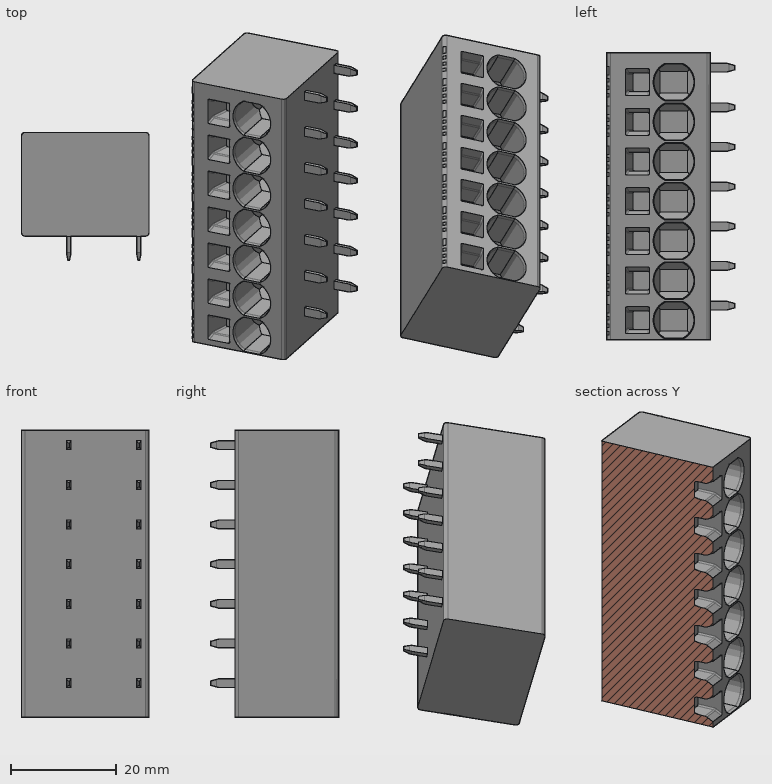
import cadquery as cq
import math

body_x = 24.15
body_y = 19.65
body_z = 54.3
edge_radius = 0.7

pole_count = 7
pole_pitch = 7.5
first_hole_z = 3.73
pin_above_hole = 2.75
pole_heights = [first_hole_z + pole * pole_pitch for pole in range(pole_count)]

hole_y = 6.95
hole_diameter = 7.55
hole_height = 6.8
hole_rim_inset = 0.15
hole_rim_depth = 0.6
hole_depth = 8.0
funnel_depth = 2.2
funnel_end_y = 5.2
funnel_end_z = 4.1

pocket_y = 13.85
pocket_width = 4.55
pocket_height = 5.1
pocket_corner_radius = 0.3
pocket_depth = 5.2
pocket_floor_inset_y = 1.4
wide_bevel_depth = 1.3
wide_bevel_inset_z = 0.7
narrow_bevel_depth = 0.4
narrow_bevel_inset_z = 0.1

pin_x_positions = (8.95, 22.2)
pin_thickness = 0.8
pin_height = 1.7
pin_length = 4.55
pin_root = 1.0
tip_z_length = 1.5
tip_z_height = 0.85
tip_x_length = 1.1
tip_x_thickness = 0.35

notch_depth = 0.07
wide_notch = 1.6
narrow_notch = 0.7
wide_notch_above_hole = 2.15
first_narrow_above_hole = 0.38
narrow_notch_pitch = 1.42
narrow_notch_count = 3


def make_housing():
    block = cq.Workplane("XY").box(body_x, body_y, body_z, centered=False)
    return block.edges("|Z").fillet(edge_radius)


def face_plane(depth):
    """Plane parallel to the -X face at the given depth; local axes are Y and Z."""
    return cq.Workplane("YZ", origin=(depth, 0, 0))


def flattened_cone(z, start_depth, start_size, end_depth, end_size):
    """Round frustum with a flat top and bottom; each size is (diameter, height)."""
    length = end_depth - start_depth
    start_diameter = start_size[0]
    end_diameter = end_size[0]
    base = face_plane(start_depth).center(hole_y, z)
    cone = (
        base.circle(start_diameter / 2)
        .workplane(offset=length).circle(end_diameter / 2)
        .loft(ruled=True)
    )
    return cone.intersect(wedge(z, start_depth, start_size, end_depth, end_size))


def wedge(z, start_depth, start_size, end_depth, end_size):
    """Rectangular frustum on the hole axis."""
    return (
        face_plane(start_depth).center(hole_y, z).rect(*start_size)
        .workplane(offset=end_depth - start_depth).rect(*end_size)
        .loft(ruled=True)
    )


def make_wire_hole(z):
    bore_size = (hole_diameter, hole_height)
    rim_size = (hole_diameter + 2 * hole_rim_inset, hole_height + 2 * hole_rim_inset)
    funnel_end = hole_depth + funnel_depth
    rim = flattened_cone(z, 0, rim_size, hole_rim_depth, bore_size)
    bore = flattened_cone(z, 0, bore_size, hole_depth, bore_size)
    bore_extension = flattened_cone(z, hole_depth, bore_size, funnel_end, bore_size)
    funnel = wedge(z, hole_depth, bore_size, funnel_end, (funnel_end_y, funnel_end_z))
    return bore.union(rim).union(funnel.intersect(bore_extension))


def pocket_section(depth, inset_z):
    """Rounded rectangle of the pocket at a depth; its -Y side is the same at every depth."""
    inset_y = pocket_floor_inset_y * depth / pocket_depth
    return (
        cq.Sketch()
        .push([(-inset_y / 2, 0)])
        .rect(pocket_width - inset_y, pocket_height - 2 * inset_z)
        .reset()
        .vertices()
        .fillet(pocket_corner_radius)
    )


def pocket_stage(z, start_depth, start_inset_z, end_depth, end_inset_z):
    start_section = pocket_section(start_depth, start_inset_z)
    end_section = pocket_section(end_depth, end_inset_z)
    advance = cq.Location(cq.Vector(0, 0, end_depth - start_depth))
    return (
        face_plane(start_depth).center(pocket_y, z)
        .placeSketch(start_section, end_section.moved(advance))
        .loft(ruled=True)
    )


def make_release_pocket(z):
    shaft_start = wide_bevel_depth + narrow_bevel_depth
    shaft_inset_z = wide_bevel_inset_z + narrow_bevel_inset_z
    wide_bevel = pocket_stage(z, 0, 0, wide_bevel_depth, wide_bevel_inset_z)
    narrow_bevel = pocket_stage(
        z, wide_bevel_depth, wide_bevel_inset_z, shaft_start, shaft_inset_z)
    shaft = pocket_stage(z, shaft_start, shaft_inset_z, pocket_depth, shaft_inset_z)
    return wide_bevel.union(narrow_bevel).union(shaft).clean()


def pin_outline(width, tip_width, tip_length):
    """Half-pointed bar as (across, Y) points, from inside the housing to the tip."""
    shoulder_y = tip_length - pin_length
    return [
        (-width / 2, pin_root),
        (-width / 2, shoulder_y),
        (-tip_width / 2, -pin_length),
        (tip_width / 2, -pin_length),
        (width / 2, shoulder_y),
        (width / 2, pin_root),
    ]


def make_pin(x, z):
    thin_outline = pin_outline(pin_thickness, tip_x_thickness, tip_x_length)
    tall_outline = pin_outline(pin_height, tip_z_height, tip_z_length)
    tall_outline_yz = [(y, across) for across, y in tall_outline]
    thin_bar = (
        cq.Workplane("XY").polyline(thin_outline).close().extrude(pin_height / 2, both=True)
    )
    tall_bar = (
        cq.Workplane("YZ").polyline(tall_outline_yz).close().extrude(pin_thickness / 2, both=True)
    )
    return thin_bar.intersect(tall_bar).translate((x, 0, z))


def make_notch(z, height):
    """Triangular prism that shaves a 45 degree facet off the rounded edge."""
    corner_gap = edge_radius * (2 - math.sqrt(2))
    reach = corner_gap + notch_depth * math.sqrt(2)
    return (
        cq.Workplane("XY", origin=(0, body_y, z - height / 2))
        .polyline([(0, 0), (reach, 0), (0, -reach)])
        .close()
        .extrude(height)
    )


def make_pole_notches(hole_z):
    notches = make_notch(hole_z + wide_notch_above_hole, wide_notch)
    for index in range(narrow_notch_count):
        z = hole_z + first_narrow_above_hole - index * narrow_notch_pitch
        notches = notches.union(make_notch(z, narrow_notch))
    return notches


result = make_housing()
for pole_z in pole_heights:
    result = result.cut(make_wire_hole(pole_z))
    result = result.cut(make_release_pocket(pole_z))
    result = result.cut(make_pole_notches(pole_z))
    for pin_x in pin_x_positions:
        result = result.union(make_pin(pin_x, pole_z + pin_above_hole))